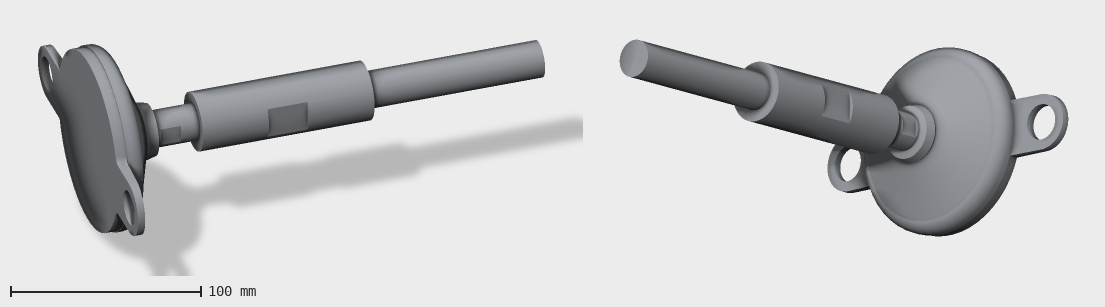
import cadquery as cq

pad_radius = 50.0
base_radius = 49.2
base_height = 6.2
rim_top = 9.2
shoulder_radius = 44.0
shoulder_height = 16.0
shoulder_bulge_radius = 48.8
shoulder_bulge_height = 13.2
cone_top_radius = 17.8
cone_top_height = 26.8
neck_radius = 14.8
neck_height = 28.0
collar_bottom_radius = 15.5
collar_bottom_height = 29.5
collar_top_radius = 14.2
collar_top_height = 34.8
seat_radius = 11.0
pad_height = 35.8

lug_hole_spacing = 136.0
lug_hole_diameter = 19.0
lug_width = 30.0
lug_root_x = 45.0
lug_root_thickness = 5.8
lug_tip_thickness = 4.0
lug_fillet = 5.0

total_length = 250.0
rod_diameter = 20.0
rod_flat_width = 17.5
rod_flat_start = 37.2
rod_flat_end = 48.5
sleeve_diameter = 32.0
sleeve_start = 58.5
sleeve_length = 95.0
sleeve_flat_width = 27.0
sleeve_flat_length = 22.0

lug_radius = lug_width / 2
lug_hole_x = lug_hole_spacing / 2
lug_tip_x = lug_hole_x + lug_radius


def cylinder(radius, start, end):
    """Cylinder on the Y axis between two heights."""
    return cq.Workplane("XZ", origin=(0, start, 0)).circle(radius).extrude(start - end)


def make_pad_disc():
    """Turned pad: stepped base, rounded rim, cone and tapered collar."""
    return (
        cq.Workplane("XY")
        .lineTo(base_radius, 0)
        .lineTo(base_radius, base_height)
        .lineTo(pad_radius, base_height)
        .lineTo(pad_radius, rim_top)
        .threePointArc(
            (shoulder_bulge_radius, shoulder_bulge_height),
            (shoulder_radius, shoulder_height),
        )
        .lineTo(cone_top_radius, cone_top_height)
        .lineTo(neck_radius, neck_height)
        .lineTo(collar_bottom_radius, collar_bottom_height)
        .lineTo(collar_top_radius, collar_top_height)
        .lineTo(seat_radius, pad_height)
        .lineTo(0, pad_height)
        .close()
        .revolve(360, (0, 0, 0), (0, 1, 0))
    )


def make_lug_outlines():
    """Both round-ended lugs and the base disc, with fillets at the +X lug root."""
    lugs = cq.Workplane("XZ").slot2D(2 * lug_tip_x, lug_width).extrude(-base_height)
    plate = lugs.union(cylinder(base_radius, 0, base_height))
    root_edges = cq.selectors.BoxSelector(
        (lug_root_x, -2.5, -lug_width), (lug_root_x + 2.5, base_height + 2.5, lug_width)
    )
    return plate.edges("|Y").edges(root_edges).fillet(lug_fillet)


def make_lug_wedges():
    """Side profile of the lugs, thinning from the disc to both tips."""
    return (
        cq.Workplane("XY")
        .moveTo(-lug_tip_x, 0)
        .lineTo(lug_tip_x, 0)
        .lineTo(lug_tip_x, lug_tip_thickness)
        .lineTo(lug_root_x, lug_root_thickness)
        .lineTo(-lug_root_x, lug_root_thickness)
        .lineTo(-lug_tip_x, lug_tip_thickness)
        .close()
        .extrude(pad_radius, both=True)
    )


def make_pad():
    lugs = make_lug_outlines().intersect(make_lug_wedges())
    holes = (
        cq.Workplane("XZ")
        .pushPoints([(-lug_hole_x, 0), (lug_hole_x, 0)])
        .circle(lug_hole_diameter / 2)
        .extrude(-base_height)
    )
    return make_pad_disc().union(lugs.cut(holes))


def cut_flats(body, width, diameter, start, end):
    """Cut a pair of wrench flats on the -X and +X sides."""
    length = end - start
    band = cq.Workplane("XY").box(2 * diameter, length, 2 * diameter)
    core = cq.Workplane("XY").box(width, length, 2 * diameter)
    return body.cut(band.cut(core).translate((0, (start + end) / 2, 0)))


def make_spindle():
    """Rod standing on the pad collar, with a thicker sleeve part way up."""
    rod = cylinder(rod_diameter / 2, pad_height, total_length)
    rod = cut_flats(rod, rod_flat_width, rod_diameter, rod_flat_start, rod_flat_end)
    sleeve_end = sleeve_start + sleeve_length
    sleeve = cylinder(sleeve_diameter / 2, sleeve_start, sleeve_end)
    sleeve_middle = (sleeve_start + sleeve_end) / 2
    sleeve = cut_flats(
        sleeve,
        sleeve_flat_width,
        sleeve_diameter,
        sleeve_middle - sleeve_flat_length / 2,
        sleeve_middle + sleeve_flat_length / 2,
    )
    return rod.union(sleeve)


pad = make_pad()
spindle = make_spindle()
result = cq.Compound.makeCompound([pad.solids().val(), spindle.solids().val()])